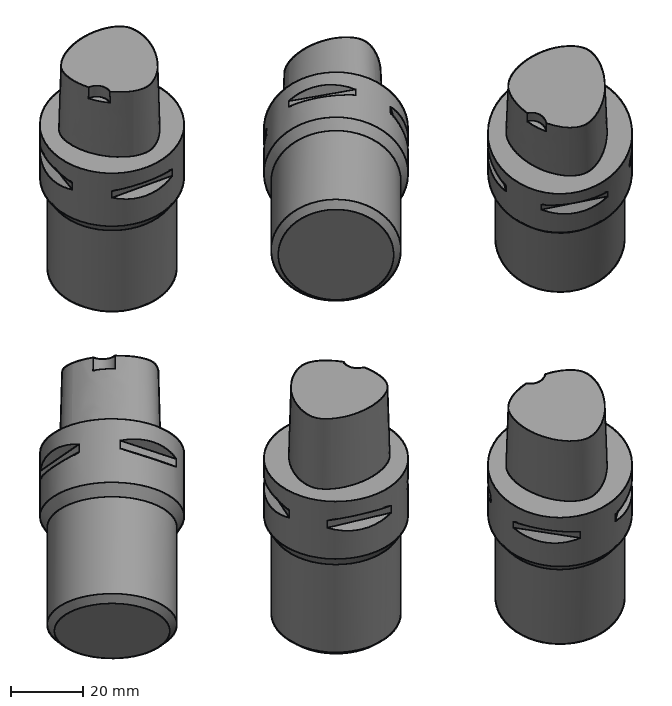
import cadquery as cq
import math

total_height = 80.0
collar_diameter = 40.0
collar_height = 20.0
body_diameter = 36.0
shoulder_angle = 60.0
end_chamfer = 2.0

shank_height = 24.0
shank_base_width = 28.0
shank_taper = 1 / 20
lobe_offset = 1.0
face_count = 6
points_per_face = 9

notch_radius = 4.0
notch_depth = 4.2
notch_center_y = -14.8

groove_count = 4
groove_first_angle = 45.0
groove_floor_distance = 17.6
groove_floor_height = 2.5
groove_drop = 8.0
groove_wall_angle = 30.0

collar_radius = collar_diameter / 2
body_radius = body_diameter / 2
collar_top = total_height - shank_height
collar_bottom = collar_top - collar_height
shoulder_drop = (collar_radius - body_radius) * math.tan(math.radians(shoulder_angle))


def turned_body():
    """Revolve the collar, conical shoulder and chamfered lower body."""
    return (
        cq.Workplane("XZ")
        .moveTo(0, 0)
        .lineTo(body_radius - end_chamfer, 0)
        .lineTo(body_radius, end_chamfer)
        .lineTo(body_radius, collar_bottom - shoulder_drop)
        .lineTo(collar_radius, collar_bottom)
        .lineTo(collar_radius, collar_top)
        .lineTo(0, collar_top)
        .close()
        .revolve(360, (0, 0), (0, 1))
    )


def lobe_point(width, angle, z):
    """Point where the outward normal of the constant-width curve is at angle (radians)."""
    lobe_phase = 3 * (angle - math.pi / 2)
    reach = width / 2 + lobe_offset * math.cos(lobe_phase)
    slide = -3 * lobe_offset * math.sin(lobe_phase)
    return cq.Vector(
        reach * math.cos(angle) - slide * math.sin(angle),
        reach * math.sin(angle) + slide * math.cos(angle),
        z,
    )


def lobe_tangent(angle):
    return cq.Vector(-math.sin(angle), math.cos(angle), 0)


def lobe_wire(width, z):
    face_span = 2 * math.pi / face_count
    edges = []
    for face in range(face_count):
        start = face * face_span
        angles = [start + face_span * i / (points_per_face - 1) for i in range(points_per_face)]
        points = [lobe_point(width, angle, z) for angle in angles]
        end_tangents = [lobe_tangent(angles[0]), lobe_tangent(angles[-1])]
        edges.append(cq.Edge.makeSpline(points, tangents=end_tangents))
    return cq.Wire.assembleEdges(edges)


def lobed_shank():
    top_width = shank_base_width - shank_taper * shank_height
    base = lobe_wire(shank_base_width, collar_top)
    top = lobe_wire(top_width, total_height)
    return cq.Workplane(cq.Solid.makeLoft([base, top], True))


def shank_notch():
    return (
        cq.Workplane("XY", origin=(0, notch_center_y, total_height - notch_depth))
        .circle(notch_radius)
        .extrude(notch_depth)
    )


def gripper_groove(angle):
    """Straight trapezoidal groove that widens outward, turned to the given angle."""
    middle = collar_top - groove_drop
    floor_half = groove_floor_height / 2
    mouth_half = floor_half + (collar_radius - groove_floor_distance) * math.tan(
        math.radians(groove_wall_angle)
    )
    return (
        cq.Workplane("XZ")
        .moveTo(groove_floor_distance, middle - floor_half)
        .lineTo(collar_radius, middle - mouth_half)
        .lineTo(collar_radius, middle + mouth_half)
        .lineTo(groove_floor_distance, middle + floor_half)
        .close()
        .extrude(collar_radius, both=True)
        .rotate((0, 0, 0), (0, 0, 1), angle)
    )


result = turned_body().union(lobed_shank()).cut(shank_notch())
for index in range(groove_count):
    result = result.cut(gripper_groove(groove_first_angle + index * 360 / groove_count))